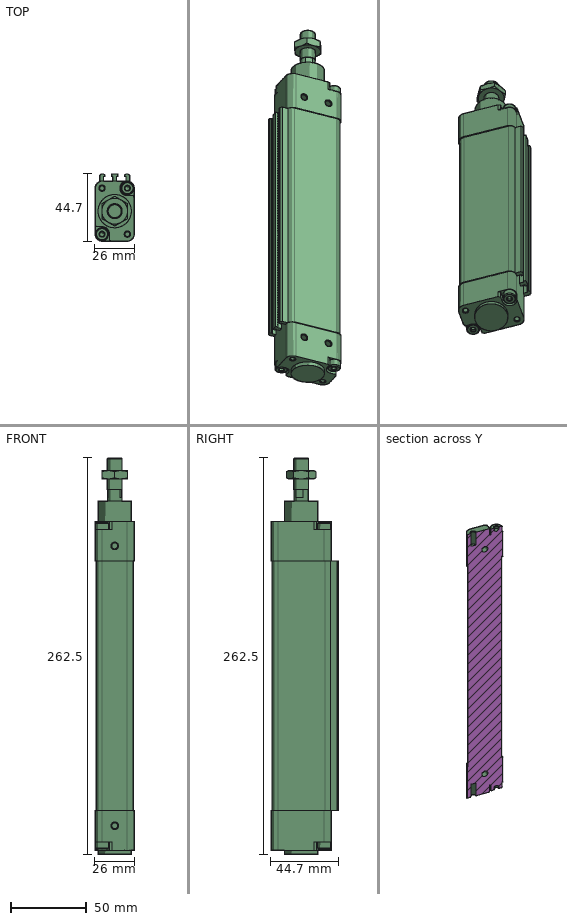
import cadquery as cq
import math

TOTAL_HEIGHT = 262.5
BOSS_HEIGHT = 2.5
CAP_HEIGHT = 26.2
COLLAR_HEIGHT = 13.5
ROD_EXPOSED = 28.5

CAP_BOTTOM = BOSS_HEIGHT
COLLAR_TOP = TOTAL_HEIGHT - ROD_EXPOSED
CAP_TOP = COLLAR_TOP - COLLAR_HEIGHT
BARREL_BOTTOM = CAP_BOTTOM + CAP_HEIGHT
BARREL_TOP = CAP_TOP - CAP_HEIGHT
BARREL_LENGTH = BARREL_TOP - BARREL_BOTTOM

CAP_WIDTH = 26.0
CAP_DEPTH = 40.0
CAP_CORNER = 4.7
BARREL_INSET = 0.65
BARREL_WIDTH = CAP_WIDTH - 2 * BARREL_INSET
BARREL_DEPTH = CAP_DEPTH - BARREL_INSET
BARREL_CORNER = CAP_CORNER - BARREL_INSET
CAP_BACK = CAP_DEPTH / 2
COLLAR_DIAMETER = 22.0

RAIL_HEIGHT = 4.7
RAIL_EMBED = 1.3
RAIL_ROOT = CAP_BACK - RAIL_EMBED
RAIL_CREST = CAP_BACK + RAIL_HEIGHT
STEM_WIDTH = 2.5
LIP = 0.8
LIP_THICKNESS = 1.8
LIP_BOTTOM = RAIL_CREST - LIP_THICKNESS
SIDE_RAIL_OUTER = 10.0
OUTER_BEVEL = 1.0
LIP_BEVEL = 0.8

SCREW_X = 8.5
SCREW_Y = 15.2
TO_SIDE = CAP_WIDTH / 2 - SCREW_X
TO_FRONT = CAP_DEPTH / 2 - SCREW_Y
HEAD_DIAMETER = 8.7
RECESS_DIAMETER = 10.0
RECESS_DEPTH = 5.5
HEAD_GAP = 0.8
HEAD_CHAMFER = 0.65
HEAD_HEIGHT = RECESS_DEPTH - HEAD_GAP
FLARE_WIDTH = 1.5
FLARE_DEPTH = 0.8
SOCKET_DIAMETER = 3.2
SOCKET_MOUTH = 4.0
SOCKET_DEPTH = 2.0
SOCKET_TIP = 1.0
THREAD_DIAMETER = 3.2
THREAD_MOUTH = 4.2
THREAD_DEPTH = 10.5

PORT_DIAMETER = 4.0
PORT_MOUTH = 5.0
PORT_DEPTH = 5.2
PORT_FROM_CAP_END = 16.3
SIDE_PORT_Y = 9.0

ROD_DIAMETER = 10.0
ROD_TIP_DIAMETER = 8.7
ROD_NECK_DIAMETER = 9.7
ROD_EMBED = COLLAR_HEIGHT + CAP_HEIGHT
THREAD_LENGTH = 21.0
FLAT_ACROSS = 8.5
FLAT_LENGTH = 5.2
FLAT_ANGLE = -15.0

NUT_ACROSS_FLATS = 17.0
NUT_HEIGHT = 5.5
NUT_FROM_ROD_END = 8.5
NUT_TOP = TOTAL_HEIGHT - NUT_FROM_ROD_END
NUT_BEVEL_HEIGHT = 0.8


def cylinder(diameter, height, x, y, z):
    return cq.Workplane("XY", origin=(x, y, z)).circle(diameter / 2).extrude(height)


def rounded_block(width, depth, height, corner, y, z):
    block = cq.Workplane("XY", origin=(0, y, z)).rect(width, depth).extrude(height)
    return block.edges("|Z").fillet(corner)


def drilled_hole(diameter, mouth, depth, tip):
    """Tool for a 45 degree countersunk hole that goes down from the origin to a conical tip."""
    radius = diameter / 2
    profile = (
        cq.Workplane("XZ")
        .lineTo(mouth / 2, 0)
        .lineTo(radius, radius - mouth / 2)
        .lineTo(radius, -depth)
        .lineTo(0, -depth - tip)
        .close()
    )
    return profile.revolve(360, (0, 0, 0), (0, 1, 0))


def corner_recess():
    """Pocket below the origin around a screw at the -X, -Y corner, with a flared way out to -X."""
    radius = RECESS_DIAMETER / 2
    outlet = (
        cq.Workplane("XY")
        .moveTo(0, radius)
        .lineTo(FLARE_DEPTH - TO_SIDE, radius)
        .lineTo(-TO_SIDE, radius + FLARE_WIDTH)
        .lineTo(-TO_SIDE, -TO_FRONT)
        .lineTo(0, -TO_FRONT)
        .close()
        .extrude(-RECESS_DEPTH)
    )
    return cylinder(RECESS_DIAMETER, -RECESS_DEPTH, 0, 0, 0).union(outlet)


def front_outlet():
    """Second flared way out of the front recess, to -Y."""
    radius = RECESS_DIAMETER / 2
    return (
        cq.Workplane("XY")
        .lineTo(radius, 0)
        .lineTo(radius, FLARE_DEPTH - TO_FRONT)
        .lineTo(radius + FLARE_WIDTH, -TO_FRONT)
        .lineTo(0, -TO_FRONT)
        .close()
        .extrude(-RECESS_DEPTH)
    )


def screw_head():
    head = cylinder(HEAD_DIAMETER, HEAD_HEIGHT, 0, 0, -RECESS_DEPTH).faces(">Z").chamfer(HEAD_CHAMFER)
    socket = drilled_hole(SOCKET_DIAMETER, SOCKET_MOUTH, SOCKET_DEPTH, SOCKET_TIP)
    return head.cut(socket.translate((0, 0, -HEAD_GAP)))


def end_cap():
    """Cap with its outer end at Z = 0 and its inner end below."""
    cap = rounded_block(CAP_WIDTH, CAP_DEPTH, CAP_HEIGHT, CAP_CORNER, 0, -CAP_HEIGHT)
    front_screw = (-SCREW_X, -SCREW_Y, 0)
    back_screw = (SCREW_X, SCREW_Y, 0)
    cap = cap.cut(corner_recess().union(front_outlet()).translate(front_screw))
    cap = cap.cut(corner_recess().rotate((0, 0, 0), (0, 0, 1), 180).translate(back_screw))
    for place in (front_screw, back_screw):
        cap = cap.union(screw_head().translate(place))

    thread = drilled_hole(THREAD_DIAMETER, THREAD_MOUTH, THREAD_DEPTH, 0)
    for place in ((-SCREW_X, SCREW_Y, 0), (SCREW_X, -SCREW_Y, 0)):
        cap = cap.cut(thread.translate(place))

    port = drilled_hole(PORT_DIAMETER, PORT_MOUTH, PORT_DEPTH, 0)
    front_port = port.rotate((0, 0, 0), (1, 0, 0), 90)
    cap = cap.cut(front_port.translate((0, -CAP_DEPTH / 2, -PORT_FROM_CAP_END)))
    side_port = port.rotate((0, 0, 0), (0, 1, 0), -90)
    for y in (-SIDE_PORT_Y, SIDE_PORT_Y):
        cap = cap.cut(side_port.translate((-CAP_WIDTH / 2, y, -PORT_FROM_CAP_END)))
    return cap


def middle_rail():
    """T-shaped rail on the X = 0 plane."""
    stem = STEM_WIDTH / 2
    lip = stem + LIP
    half = [(stem, RAIL_ROOT), (stem, LIP_BOTTOM), (lip, LIP_BOTTOM), (lip, RAIL_CREST)]
    mirrored = [(-x, y) for x, y in reversed(half)]
    outline = cq.Workplane("XY", origin=(0, 0, BARREL_BOTTOM)).polyline(half + mirrored).close()
    return outline.extrude(BARREL_LENGTH)


def side_rail():
    """Rail on the +X side with a lip towards the middle and bevelled crest corners."""
    inner = SIDE_RAIL_OUTER - STEM_WIDTH
    lip = inner - LIP
    outline = (
        cq.Workplane("XY", origin=(0, 0, BARREL_BOTTOM))
        .moveTo(inner, RAIL_ROOT)
        .lineTo(inner, LIP_BOTTOM)
        .lineTo(lip, LIP_BOTTOM)
        .lineTo(lip, RAIL_CREST - LIP_BEVEL)
        .lineTo(lip + LIP_BEVEL, RAIL_CREST)
        .lineTo(SIDE_RAIL_OUTER - OUTER_BEVEL, RAIL_CREST)
        .lineTo(SIDE_RAIL_OUTER, RAIL_CREST - OUTER_BEVEL)
        .lineTo(SIDE_RAIL_OUTER, RAIL_ROOT)
        .close()
    )
    return outline.extrude(BARREL_LENGTH)


def make_barrel():
    barrel_y = CAP_BACK - BARREL_DEPTH / 2
    barrel = rounded_block(
        BARREL_WIDTH, BARREL_DEPTH, BARREL_LENGTH, BARREL_CORNER, barrel_y, BARREL_BOTTOM
    )
    return barrel.union(middle_rail()).union(side_rail()).union(side_rail().mirror("YZ"))


def make_housing():
    housing = make_barrel()
    housing = housing.union(end_cap().translate((0, 0, CAP_TOP)))
    housing = housing.union(end_cap().mirror("XY").translate((0, 0, CAP_BOTTOM)))
    housing = housing.union(cylinder(COLLAR_DIAMETER, BOSS_HEIGHT, 0, 0, 0))
    housing = housing.union(cylinder(COLLAR_DIAMETER, COLLAR_HEIGHT, 0, 0, CAP_TOP))
    return housing.cut(cylinder(ROD_NECK_DIAMETER, -ROD_EMBED, 0, 0, COLLAR_TOP))


def make_rod():
    """Rod with a thicker thread at its top and two wrench flats just below the thread."""
    neck_top = TOTAL_HEIGHT - THREAD_LENGTH
    thread = cylinder(ROD_DIAMETER, THREAD_LENGTH, 0, 0, neck_top)
    thread = thread.faces(">Z").chamfer((ROD_DIAMETER - ROD_TIP_DIAMETER) / 2)
    neck_length = ROD_EMBED + ROD_EXPOSED - THREAD_LENGTH
    neck = cylinder(ROD_NECK_DIAMETER, -neck_length, 0, 0, neck_top)

    core = cq.Workplane("XY", origin=(0, 0, neck_top)).rect(FLAT_ACROSS, ROD_DIAMETER).extrude(-FLAT_LENGTH)
    core = core.rotate((0, 0, 0), (0, 0, 1), FLAT_ANGLE)
    removed = cylinder(ROD_DIAMETER, -FLAT_LENGTH, 0, 0, neck_top).cut(core)
    return thread.union(neck.cut(removed))


def make_nut():
    flat_radius = NUT_ACROSS_FLATS / 2
    corner_radius = flat_radius / math.cos(math.radians(30))
    bottom_z = NUT_TOP - NUT_HEIGHT
    hexagon = cq.Workplane("XY", origin=(0, 0, bottom_z)).polygon(6, 2 * corner_radius).extrude(NUT_HEIGHT)
    hexagon = hexagon.rotate((0, 0, 0), (0, 0, 1), 30)
    envelope = (
        cq.Workplane("XZ", origin=(0, 0, bottom_z))
        .lineTo(flat_radius, 0)
        .lineTo(corner_radius, NUT_BEVEL_HEIGHT)
        .lineTo(corner_radius, NUT_HEIGHT - NUT_BEVEL_HEIGHT)
        .lineTo(flat_radius, NUT_HEIGHT)
        .lineTo(0, NUT_HEIGHT)
        .close()
        .revolve(360, (0, 0, 0), (0, 1, 0))
    )
    return hexagon.intersect(envelope).cut(cylinder(ROD_DIAMETER, NUT_HEIGHT, 0, 0, bottom_z))


housing = make_housing()
rod = make_rod()
nut = make_nut()

result = cq.Compound.makeCompound([housing.val(), rod.val(), nut.val()])